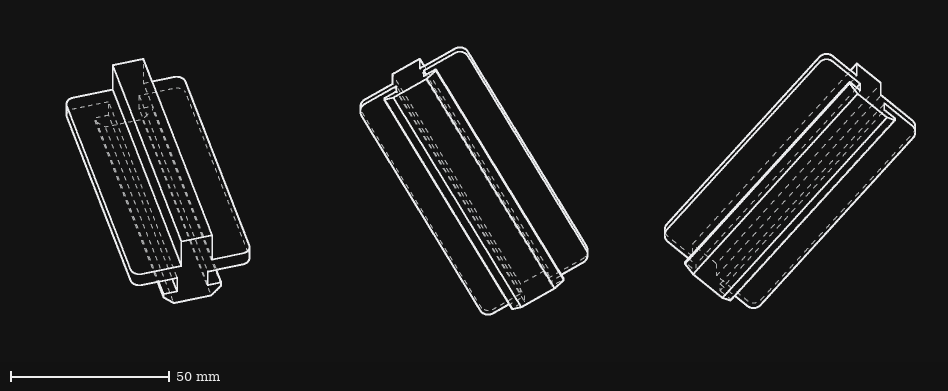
import cadquery as cq

length = 80.0
total_height = 27.6

plate_width = 39.0
plate_thickness = 5.1
plate_corner_radius = 3.0

rib_width = 10.1
rib_offset = 1.4

neck_width = 10.1
neck_height = 6.2
foot_width = 19.0
foot_bottom_width = 12.2
foot_height = 5.1
foot_lip_height = 1.5

plate_bottom = foot_height + neck_height
plate_top = plate_bottom + plate_thickness
rib_height = total_height - plate_top


def bar(width, height, bottom, offset=0.0):
    """Full-length rectangular bar standing on the given level."""
    return (
        cq.Workplane("XY")
        .box(length, width, height, centered=(True, True, False))
        .translate((0, offset, bottom))
    )


def make_foot():
    """Full-length foot with a vertical lip above two sloping sides."""
    lip_bottom = foot_height - foot_lip_height
    return (
        cq.Workplane("YZ")
        .polyline([
            (-foot_bottom_width / 2, 0),
            (foot_bottom_width / 2, 0),
            (foot_width / 2, lip_bottom),
            (foot_width / 2, foot_height),
            (-foot_width / 2, foot_height),
            (-foot_width / 2, lip_bottom),
        ])
        .close()
        .extrude(length / 2, both=True)
    )


plate = bar(plate_width, plate_thickness, plate_bottom).edges("|Z").fillet(plate_corner_radius)
rib = bar(rib_width, rib_height, plate_top, rib_offset)
neck = bar(neck_width, neck_height, foot_height)

result = plate.union(rib).union(neck).union(make_foot())